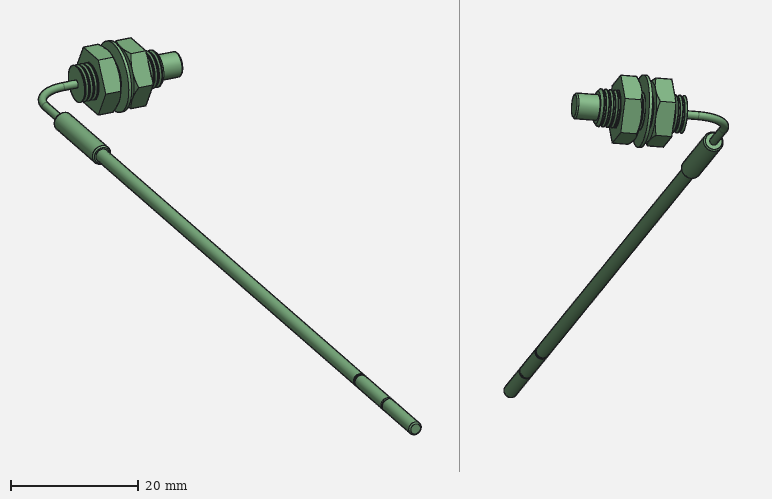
import cadquery as cq
import math

washer_diameter = 11.44
total_length_x = 146.95
total_length_y = 27.27
edge_chamfer = 0.25

thread_diameter = 6.0
thread_pitch = 0.75
thread_depth = 0.3
thread_flat = thread_pitch / 8
housing_start = 8.0
shoulder_y = 22.0
shoulder_chamfer = 0.4
neck_diameter = 4.1

nut_flats = 9.525
nut_corners = nut_flats / math.cos(math.radians(30))
nut_chamfer_depth = (nut_corners - nut_flats) / 2 * math.tan(math.radians(30))
nut_thickness = 3.0
front_nut_start = 10.5
rear_nut_start = 15.8
washer_start = 14.4
washer_thickness = 0.5

cable_diameter = 1.3
bend_radius = 5.6
sleeve_diameter = 3.2
sleeve_start = 11.8
sleeve_end = 26.3
rod_diameter = 2.2
rod_start = 21.0
groove_x = 120.7
groove_width = 0.4
groove_depth = 0.1
tip_start = 131.0
joint_chamfer = 0.2

tip_end = total_length_x - washer_diameter / 2
housing_end = total_length_y - sleeve_diameter / 2


def y_cylinder(diameter, start, length):
    """Cylinder on the connector axis, growing towards +Y."""
    return cq.Workplane("XZ", origin=(0, start, 0)).circle(diameter / 2).extrude(-length)


def x_cylinder(diameter, start, end):
    """Cylinder on the antenna axis."""
    return cq.Workplane("YZ", origin=(start, 0, 0)).circle(diameter / 2).extrude(end - start)


def make_housing():
    """Stepped barrel with ring-shaped thread grooves, revolved about the connector axis."""
    crest = thread_diameter / 2
    root = crest - thread_depth
    groove_half = (thread_pitch - thread_flat) / 2
    groove_count = int((shoulder_y - shoulder_chamfer - housing_start) / thread_pitch)

    profile = cq.Workplane("XY").moveTo(0, housing_start).lineTo(crest, housing_start)
    for index in range(groove_count):
        middle = housing_start + (index + 0.5) * thread_pitch
        profile = (
            profile.lineTo(crest, middle - groove_half)
            .lineTo(root, middle - thread_flat / 2)
            .lineTo(root, middle + thread_flat / 2)
            .lineTo(crest, middle + groove_half)
        )
    profile = (
        profile.lineTo(crest, shoulder_y - shoulder_chamfer)
        .lineTo(crest - shoulder_chamfer, shoulder_y)
        .lineTo(neck_diameter / 2, shoulder_y)
        .lineTo(neck_diameter / 2, housing_end - edge_chamfer)
        .lineTo(neck_diameter / 2 - edge_chamfer, housing_end)
        .lineTo(0, housing_end)
        .close()
    )
    return profile.revolve(360, (0, 0, 0), (0, 1, 0))


def make_nut(start, chamfered_face):
    """Hex nut with corners on +X and -X; the face named by its selector has 30 degree chamfered corners."""
    hexagon = (
        cq.Workplane("XZ", origin=(0, start, 0))
        .polygon(6, nut_corners)
        .extrude(-nut_thickness)
    )
    chamfer_cutter = (
        y_cylinder(nut_corners, start, nut_thickness)
        .faces(chamfered_face)
        .chamfer(nut_chamfer_depth, (nut_corners - nut_flats) / 2)
    )
    return hexagon.intersect(chamfer_cutter).cut(y_cylinder(thread_diameter, start, nut_thickness))


def make_washer():
    """Plain round washer."""
    disc = y_cylinder(washer_diameter, washer_start, washer_thickness)
    return disc.cut(y_cylinder(thread_diameter, washer_start, washer_thickness))


def make_cable():
    """Cable leaving the housing, turning 90 degrees and ending against the rod inside the sleeve."""
    path = (
        cq.Workplane("XY")
        .moveTo(0, housing_start)
        .lineTo(0, bend_radius)
        .radiusArc((bend_radius, 0), -bend_radius)
        .lineTo(rod_start, 0)
    )
    return cq.Workplane("XZ", origin=(0, housing_start, 0)).circle(cable_diameter / 2).sweep(path)


def make_sleeve():
    """Crimp sleeve bored for the cable at one end and for the rod at the other."""
    body = x_cylinder(sleeve_diameter, sleeve_start, sleeve_end).edges().chamfer(edge_chamfer)
    cable_bore = x_cylinder(cable_diameter, sleeve_start, rod_start)
    rod_bore = x_cylinder(rod_diameter, rod_start, sleeve_end)
    return body.cut(cable_bore).cut(rod_bore)


def make_rod():
    """Long rod with a shallow ring groove and a chamfered end where it meets the tip."""
    rod = x_cylinder(rod_diameter, rod_start, tip_start).faces(">X").chamfer(joint_chamfer)
    groove = x_cylinder(rod_diameter, groove_x, groove_x + groove_width).cut(
        x_cylinder(rod_diameter - 2 * groove_depth, groove_x, groove_x + groove_width)
    )
    return rod.cut(groove)


def make_tip():
    """End piece of the rod, chamfered at both ends."""
    return (
        x_cylinder(rod_diameter, tip_start, tip_end)
        .faces("<X").chamfer(joint_chamfer)
        .faces(">X").chamfer(edge_chamfer)
    )


housing = make_housing()
nuts = [make_nut(start, face) for start, face in ((front_nut_start, ">Y"), (rear_nut_start, "<Y"))]
washer = make_washer()
cable = make_cable()
sleeve = make_sleeve()
rod = make_rod()
tip = make_tip()

result = cq.Compound.makeCompound([
    housing.val(),
    *[nut.val() for nut in nuts],
    washer.val(),
    cable.val(),
    sleeve.val(),
    rod.val(),
    tip.val(),
])